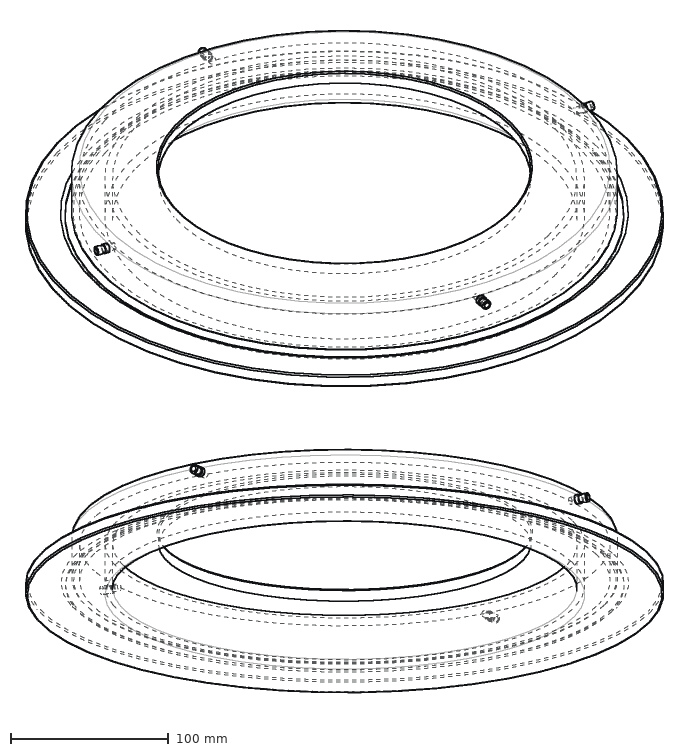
import cadquery as cq

total_height = 42.0

flange_radius = 202.0
flange_thickness = 8.5
flange_chamfer = 1.0
bore_radius = 147.0
bore_fillet = 5.0
collar_wall = 5.0
collar_radius = bore_radius + collar_wall

recess_radius = 177.0
recess_depth = 2.5
recess_mouth_radius = 179.8
recess_mouth_depth = 1.0

cap_radius = 173.0
cap_hole_radius = 118.0
cap_lid_thickness = 8.0
cap_skirt_wall = 5.0
cap_fillet = 5.0
cap_edge_chamfer = 1.0
cap_gap = 1.2
cap_bottom = flange_thickness + cap_gap
lid_underside = total_height - cap_lid_thickness
skirt_inner_radius = cap_radius - cap_skirt_wall

nipple_count = 4
nipple_first_angle = 45.0
nipple_height = 34.0
shank_diameter = 4.5
shoulder_diameter = 6.0
shoulder_length = 3.0
neck_diameter = 4.5
cone_length = 2.5
head_diameter = 5.5
head_length = 3.2
tip_diameter = 3.5
tip_length = 0.5


def revolve_about_z(profile):
    """Close a radius-height outline and turn it a full circle about Z."""
    return profile.close().revolve(360, (0, 0, 0), (0, 1, 0))


def make_base():
    """Flange and collar in one profile, with the recess below the skirt."""
    recess_floor = flange_thickness - recess_depth
    profile = (
        cq.Workplane("XZ")
        .moveTo(bore_radius + bore_fillet, 0)
        .lineTo(flange_radius - flange_chamfer, 0)
        .lineTo(flange_radius, flange_chamfer)
        .lineTo(flange_radius, flange_thickness - flange_chamfer)
        .lineTo(flange_radius - flange_chamfer, flange_thickness)
        .lineTo(recess_mouth_radius, flange_thickness)
        .lineTo(recess_radius, flange_thickness - recess_mouth_depth)
        .lineTo(recess_radius, recess_floor)
        .lineTo(collar_radius, recess_floor)
        .lineTo(collar_radius, lid_underside)
        .lineTo(bore_radius, lid_underside)
        .lineTo(bore_radius, bore_fillet)
        .radiusArc((bore_radius + bore_fillet, 0), -bore_fillet)
    )
    return revolve_about_z(profile)


def make_cap_blank():
    """Lid and skirt in one profile, before the nipple holes."""
    profile = (
        cq.Workplane("XZ")
        .moveTo(cap_hole_radius, lid_underside)
        .lineTo(cap_hole_radius, total_height - cap_edge_chamfer)
        .lineTo(cap_hole_radius + cap_edge_chamfer, total_height)
        .lineTo(cap_radius - cap_fillet, total_height)
        .radiusArc((cap_radius, total_height - cap_fillet), cap_fillet)
        .lineTo(cap_radius, cap_bottom + cap_edge_chamfer)
        .lineTo(cap_radius - cap_edge_chamfer, cap_bottom)
        .lineTo(skirt_inner_radius, cap_bottom)
        .lineTo(skirt_inner_radius, lid_underside)
    )
    return revolve_about_z(profile)


def place_radially(body, angle):
    """Lift a body that lies along +X to nipple height and turn it about Z."""
    return body.translate((0, 0, nipple_height)).rotate((0, 0, 0), (0, 0, 1), angle)


def make_shank():
    """Round shank along +X, from the inside of the skirt to its outside."""
    shank = cq.Workplane("YZ").workplane(offset=skirt_inner_radius)
    return shank.circle(shank_diameter / 2).extrude(cap_skirt_wall)


def make_nipple():
    """Shank, round shoulder, and a head that widens from a narrow neck, along +X."""
    shoulder_end = cap_radius + shoulder_length
    cone_end = shoulder_end + cone_length
    tip_end = cone_end + head_length
    fitting = (
        cq.Workplane("XY")
        .moveTo(cap_radius, 0)
        .lineTo(cap_radius, shoulder_diameter / 2)
        .lineTo(shoulder_end, shoulder_diameter / 2)
        .lineTo(shoulder_end, neck_diameter / 2)
        .lineTo(cone_end, head_diameter / 2)
        .lineTo(tip_end - tip_length, head_diameter / 2)
        .lineTo(tip_end, tip_diameter / 2)
        .lineTo(tip_end, 0)
        .close()
        .revolve(360, (0, 0, 0), (1, 0, 0))
    )
    return make_shank().union(fitting)


base = make_base()
cap = make_cap_blank()
nipples = []
for index in range(nipple_count):
    angle = nipple_first_angle + index * 360 / nipple_count
    cap = cap.cut(place_radially(make_shank(), angle))
    nipples.append(place_radially(make_nipple(), angle))

result = cq.Compound.makeCompound([base.val(), cap.val(), *[nipple.val() for nipple in nipples]])